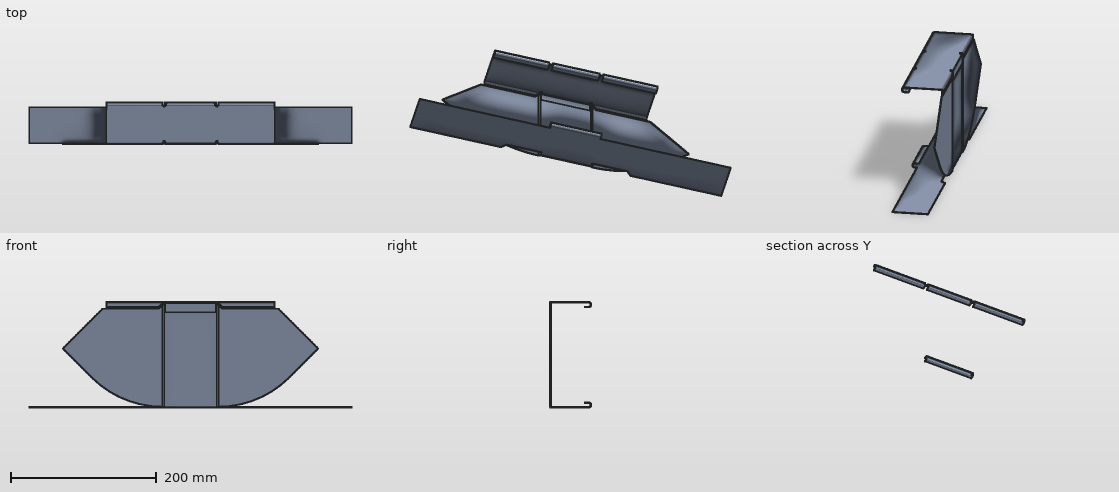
import cadquery as cq
import math

length = 442.0
depth = 57.0
height = 145.0

sheet = 1.0
bend_radius = 1.8
cut_margin = 4.5

middle_half = 36.0
joggle_width = 2.5
wing_half = middle_half + joggle_width
wing_angle = 45.0
wing_tip_half = 175.0
wing_tip_z = 81.0
wing_top_z = 135.5
riser_half = 43.8
plate_top_z = height - bend_radius
middle_face_y = sheet

strip_back_y = 50.5
relief_half = 92.0
relief_depth = 6.0
base_hook_radius = 3.5

lid_half = 115.5
tab_height = 14.5
side_flange_height = 7.0
flange_corner_half = 43.8
slit_inner_half = 34.5
slit_width = 2.0
slit_outer_half = slit_inner_half + slit_width
slit_depth = 4.0
lid_hook_radius = 3.9
hook_gap_inner_half = 33.0
hook_gap_outer_half = 38.5
rear_slit_depth = 5.5

lip_reach = 9.5


def hooked_channel(face_y, web_height, hook_radius, half_width):
    """Web at the front, flat flange at Z = 0 and a rolled hook at the back, opening upward."""
    roll_y = depth - hook_radius
    bend_y = face_y + bend_radius
    lip_end_y = depth - lip_reach
    lip_z = 2 * hook_radius
    diagonal = math.sqrt(0.5)
    outer_mid = bend_radius * diagonal
    inner_mid = (bend_radius - sheet) * diagonal
    return (
        cq.Workplane("YZ", origin=(-half_width, 0, 0))
        .moveTo(face_y, web_height)
        .lineTo(face_y, bend_radius)
        .threePointArc((bend_y - outer_mid, bend_radius - outer_mid), (bend_y, 0))
        .lineTo(roll_y, 0)
        .threePointArc((depth, hook_radius), (roll_y, lip_z))
        .lineTo(lip_end_y, lip_z)
        .lineTo(lip_end_y, lip_z - sheet)
        .lineTo(roll_y, lip_z - sheet)
        .threePointArc((depth - sheet, hook_radius), (roll_y, sheet))
        .lineTo(bend_y, sheet)
        .threePointArc((bend_y - inner_mid, bend_radius - inner_mid), (face_y + sheet, bend_radius))
        .lineTo(face_y + sheet, web_height)
        .close()
        .extrude(2 * half_width)
    )


def box_between(x_range, y_range, z_range):
    """Axis-aligned box given by its limits along each axis."""
    (x0, x1), (y0, y1), (z0, z1) = x_range, y_range, z_range
    return cq.Workplane("XY").box(x1 - x0, y1 - y0, z1 - z0, centered=False).translate((x0, y0, z0))


def mirrored(half):
    """A feature of the -X half together with its mirror image."""
    return half.union(half.mirror("YZ"))


def wing_outline():
    """Side plate outline: 45 degree tips and arcs that run into the flat bottom edge."""
    bottom_z = sheet
    corner_half = wing_tip_half - (wing_tip_z - bottom_z)
    tangent = corner_half - wing_half
    radius = tangent / math.tan(math.radians(wing_angle / 2))
    arc_mid_half = wing_half + radius * math.sin(math.radians(wing_angle / 2))
    arc_mid_z = bottom_z + radius * (1 - math.cos(math.radians(wing_angle / 2)))
    arc_end_half = wing_half + radius * math.sin(math.radians(wing_angle))
    arc_end_z = bottom_z + radius * (1 - math.cos(math.radians(wing_angle)))
    wing_top_half = wing_tip_half - (wing_top_z - wing_tip_z)
    plate_top_half = riser_half - (plate_top_z - wing_top_z)
    half = (
        cq.Workplane("XZ")
        .moveTo(0, plate_top_z)
        .lineTo(-plate_top_half, plate_top_z)
        .lineTo(-riser_half, wing_top_z)
        .lineTo(-wing_top_half, wing_top_z)
        .lineTo(-wing_tip_half, wing_tip_z)
        .lineTo(-arc_end_half, arc_end_z)
        .threePointArc((-arc_mid_half, arc_mid_z), (-wing_half, bottom_z))
        .lineTo(0, bottom_z)
        .close()
        .extrude(-depth)
    )
    return mirrored(half)


def side_plate():
    """Wings in the front plane, joined by slanted joggles to the set-back middle."""
    front_edge = [
        (-wing_tip_half, 0),
        (-wing_half, 0),
        (-middle_half, middle_face_y),
        (middle_half, middle_face_y),
        (wing_half, 0),
        (wing_tip_half, 0),
    ]
    back_edge = [(x, y + sheet) for x, y in reversed(front_edge)]
    joggled_sheet = cq.Workplane("XY").polyline(front_edge + back_edge).close().extrude(height)
    bend_room = box_between((-middle_half, middle_half), (0, depth), (0, bend_radius))
    return joggled_sheet.intersect(wing_outline()).cut(bend_room)


def floor_strip():
    """Long flat strip whose front edge steps back on both sides of the middle."""
    strip = box_between((-length / 2, length / 2), (middle_face_y, strip_back_y), (0, sheet))
    relief_y = middle_face_y + relief_depth
    relief = (
        cq.Workplane("XY")
        .polyline([
            (-relief_half, middle_face_y),
            (-relief_half + relief_depth, relief_y),
            (-middle_half, relief_y),
            (-middle_half, middle_face_y),
        ])
        .close()
        .extrude(sheet)
    )
    middle_bend = box_between(
        (-middle_half, middle_half), (middle_face_y, middle_face_y + bend_radius), (0, sheet)
    )
    return strip.cut(mirrored(relief)).cut(middle_bend)


def make_base():
    middle_channel = hooked_channel(middle_face_y, bend_radius + sheet, base_hook_radius, middle_half)
    return side_plate().union(floor_strip()).union(middle_channel)


def side_flange_trim():
    """Metal below the side flanges, with a 45 degree cut at the end next to the tab."""
    flange_z = height - side_flange_height
    slit_z = flange_z + flange_corner_half - slit_outer_half
    half = (
        cq.Workplane("XZ")
        .polyline([
            (-lid_half - cut_margin, flange_z),
            (-flange_corner_half, flange_z),
            (-slit_outer_half, slit_z),
            (-slit_outer_half, height - tab_height - cut_margin),
            (-lid_half - cut_margin, height - tab_height - cut_margin),
        ])
        .close()
        .extrude(-bend_radius)
    )
    return mirrored(half)


def lid_slits():
    """Slits that part the front flange and the rear hook into three lengths."""
    full_z = (height - tab_height - cut_margin, height + cut_margin)
    slit_x = (-slit_outer_half, -slit_inner_half)
    front_slit = box_between(slit_x, (-cut_margin, slit_depth), full_z)
    rear_slit = box_between(slit_x, (depth - rear_slit_depth, depth + cut_margin), full_z)
    hook_gap = box_between(
        (-hook_gap_outer_half, -hook_gap_inner_half),
        (depth - lid_hook_radius, depth + cut_margin),
        full_z,
    )
    lip_gap = box_between(
        (-hook_gap_outer_half, -hook_gap_inner_half),
        (depth - lip_reach - cut_margin, depth + cut_margin),
        (full_z[0], height - lid_hook_radius),
    )
    return mirrored(front_slit.union(rear_slit).union(hook_gap).union(lip_gap))


def make_lid():
    channel = hooked_channel(0, tab_height, lid_hook_radius, lid_half)
    upside_down = channel.mirror("XY").translate((0, 0, height))
    return upside_down.cut(side_flange_trim()).cut(lid_slits())


base = make_base()
lid = make_lid()

result = cq.Compound.makeCompound([base.solids().val(), lid.solids().val()])